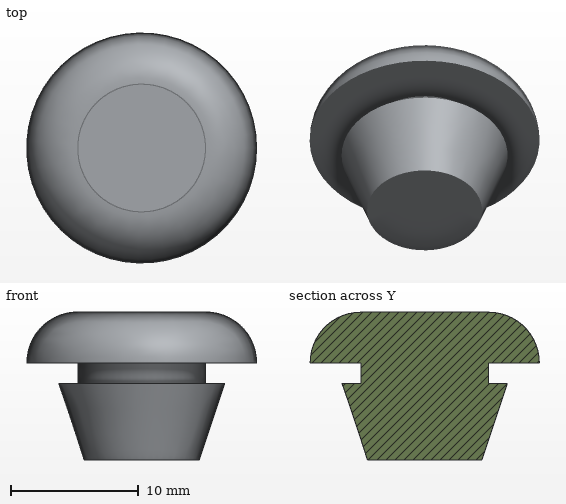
import cadquery as cq
import math

head_diameter = 18.0
head_height = 4.0
neck_diameter = 10.0
neck_height = 1.6
plug_top_diameter = 13.0
plug_tip_diameter = 9.0
plug_height = 6.0

head_radius = head_diameter / 2
flat_radius = head_radius - head_height
neck_radius = neck_diameter / 2
plug_top_radius = plug_top_diameter / 2
plug_tip_radius = plug_tip_diameter / 2

neck_bottom = plug_height
head_bottom = neck_bottom + neck_height
head_top = head_bottom + head_height

rim_offset = head_height * math.sin(math.radians(45))
rim_middle = (flat_radius + rim_offset, head_bottom + rim_offset)

outline = (
    cq.Workplane("XZ")
    .moveTo(0, 0)
    .lineTo(plug_tip_radius, 0)
    .lineTo(plug_top_radius, neck_bottom)
    .lineTo(neck_radius, neck_bottom)
    .lineTo(neck_radius, head_bottom)
    .lineTo(head_radius, head_bottom)
    .threePointArc(rim_middle, (flat_radius, head_top))
    .lineTo(0, head_top)
    .close()
)

result = outline.revolve(360, (0, 0, 0), (0, 1, 0))